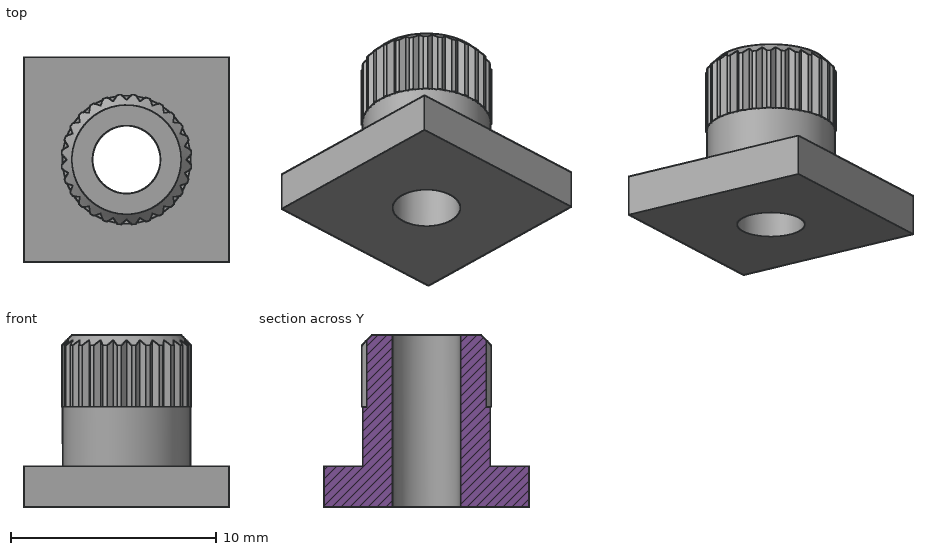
import cadquery as cq
import math

base_side = 10.0
base_thickness = 2.0

total_height = 8.4
shank_diameter = 6.25
head_diameter = 6.35
head_length = 3.5
head_chamfer = 0.51
bore_diameter = 3.3

groove_count = 28
groove_depth = 0.26
groove_angle = 90.0
groove_overshoot = 0.1

head_bottom = total_height - head_length


def make_base():
    return cq.Workplane("XY").box(
        base_side, base_side, base_thickness, centered=(True, True, False)
    )


def make_shank():
    shank = cq.Workplane("XY").workplane(offset=base_thickness)
    return shank.circle(shank_diameter / 2).extrude(head_bottom - base_thickness)


def make_groove_cutter():
    """Triangular prism along the head with its root edge on the +X side."""
    root_radius = head_diameter / 2 - groove_depth
    cutter_depth = groove_depth + groove_overshoot
    half_width = cutter_depth * math.tan(math.radians(groove_angle / 2))
    mouth_radius = root_radius + cutter_depth
    profile = [
        (root_radius, 0),
        (mouth_radius, half_width),
        (mouth_radius, -half_width),
    ]
    return cq.Workplane("XY").workplane(offset=head_bottom).polyline(profile).close().extrude(head_length)


def make_head():
    head = (
        cq.Workplane("XY")
        .workplane(offset=head_bottom)
        .circle(head_diameter / 2)
        .extrude(head_length)
        .faces(">Z")
        .chamfer(head_chamfer)
    )
    cutter = make_groove_cutter()
    pitch_angle = 360 / groove_count
    for index in range(groove_count):
        head = head.cut(cutter.rotate((0, 0, 0), (0, 0, 1), index * pitch_angle))
    return head


def make_bore():
    return cq.Workplane("XY").circle(bore_diameter / 2).extrude(total_height)


result = make_base().union(make_shank()).union(make_head()).cut(make_bore())